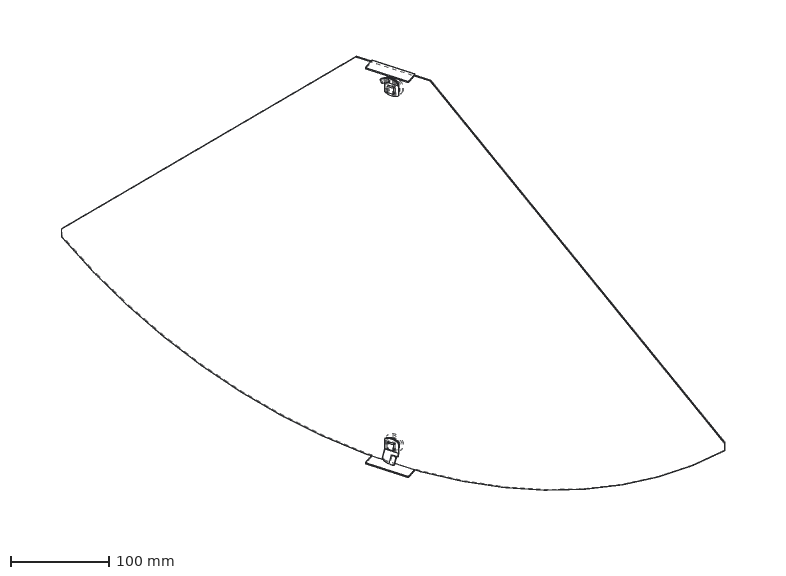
import cadquery as cq
import math


half_width = 383.0
arc_radius = 558.0
sheet = 1.5
overall_height = 504.5
top_flat_half = 43.0
bottom_flat_half = 32.0
lip_rise = 1.5
lip_width = 50.0
web_height = 4.0
lip_reach = 14.5

top_edge = -top_flat_half
lip_top = top_edge + lip_rise
lip_bottom = lip_top - overall_height
bottom_edge = lip_bottom + lip_rise
arc_center = bottom_edge + math.sqrt(arc_radius**2 - bottom_flat_half**2)
tip_bottom = arc_center - math.sqrt(arc_radius**2 - half_width**2)

disc_diameter = 21.0
disc_thickness = 2.0
shank_diameter = 15.0
spindle_side = 8.0
spindle_front = 7.0
hub_inset = 25.0

cam_width = 16.0
cam_thickness = 1.5
cam_rear = 3.0
cam_tail = 8.5
cam_length = 18.5
cam_end_radius = 14.0
crank_start = 7.0
crank_angle = 30
fold_x = -1.0
fold_angle = 30
wing_start = 4.0

lock_heights = [(lip_top - hub_inset, 0), (lip_bottom + hub_inset, 180)]


def place_lock(body, height, turn):
    """Turn a body made on the Y axis about that axis and lift it to its height."""
    return body.rotate((0, 0, 0), (0, 1, 0), turn).translate((0, 0, height))


def cylinder(diameter, rear, length):
    """Cylinder on the Y axis that runs forward (toward -Y) from the given rear plane."""
    return cq.Workplane("XZ", origin=(0, rear, 0)).circle(diameter / 2).extrude(length)


def make_lip(outer_face, inward):
    """Angle-shaped lip: a short web in the sheet's plane and a flange bent forward (toward -Y)."""
    return (
        cq.Workplane("YZ")
        .moveTo(0, outer_face)
        .lineTo(-lip_reach, outer_face)
        .lineTo(-lip_reach, outer_face + inward * sheet)
        .lineTo(-sheet, outer_face + inward * sheet)
        .lineTo(-sheet, outer_face + inward * web_height)
        .lineTo(0, outer_face + inward * web_height)
        .close()
        .extrude(lip_width / 2, both=True)
    )


def make_panel():
    panel = (
        cq.Workplane("XZ")
        .moveTo(-top_flat_half, top_edge)
        .lineTo(top_flat_half, top_edge)
        .lineTo(half_width, -half_width)
        .lineTo(half_width, tip_bottom)
        .radiusArc((bottom_flat_half, bottom_edge), arc_radius)
        .lineTo(-bottom_flat_half, bottom_edge)
        .radiusArc((-half_width, tip_bottom), arc_radius)
        .lineTo(-half_width, -half_width)
        .close()
        .extrude(sheet)
    )
    for outer_face, inward in ((lip_top, -1), (lip_bottom, 1)):
        panel = panel.union(make_lip(outer_face, inward))
    for height, turn in lock_heights:
        panel = panel.cut(place_lock(cylinder(shank_diameter, 0, sheet), height, turn))
    return panel


def make_housing():
    disc = cylinder(disc_diameter, disc_thickness, disc_thickness)
    shank = cylinder(shank_diameter, 0, cam_rear)
    spindle = cq.Workplane("XZ").rect(spindle_side, spindle_side).extrude(spindle_front)
    return disc.union(shank).union(spindle)


def cam_outline():
    """Front outline of the cam, with a shallow arc at each end, as a block through its depth."""
    half = cam_width / 2
    end_rise = cam_end_radius - math.sqrt(cam_end_radius**2 - half**2)
    shoulder = cam_length - end_rise
    heel = end_rise - cam_tail
    return (
        cq.Workplane("XZ")
        .moveTo(-half, heel)
        .lineTo(-half, shoulder)
        .threePointArc((0, cam_length), (half, shoulder))
        .lineTo(half, heel)
        .threePointArc((0, -cam_tail), (-half, heel))
        .close()
        .extrude(2 * lip_reach)
    )


def make_cam():
    rear = -cam_rear
    front = rear - cam_thickness
    lean = math.radians(crank_angle)
    bend_shift = cam_thickness * math.tan(lean / 2)
    blade_run = (cam_length - crank_start) * math.tan(lean)
    blade_back = cam_thickness / math.cos(lean)
    strip = (
        cq.Workplane("YZ")
        .moveTo(rear, -cam_tail)
        .lineTo(rear, crank_start + bend_shift)
        .lineTo(front - blade_run + blade_back, cam_length)
        .lineTo(front - blade_run, cam_length)
        .lineTo(front, crank_start)
        .lineTo(front, -cam_tail)
        .close()
        .extrude(cam_width / 2, both=True)
    )

    blade_frame = cq.Plane(
        origin=(0, front, crank_start), xDir=(1, 0, 0), normal=(0, -math.sin(lean), math.cos(lean))
    )
    blade_length = (cam_length - crank_start) / math.cos(lean)
    wing_base = cq.Workplane(blade_frame).workplane(offset=wing_start)
    clearance = (
        wing_base
        .center(fold_x - cam_width / 2, 0)
        .rect(cam_width, cam_width)
        .extrude(blade_length)
    )

    fold = math.radians(fold_angle)
    wing_across = cam_width * math.cos(fold)
    wing_forward = cam_width * math.sin(fold)
    wing = (
        wing_base
        .moveTo(fold_x, 0)
        .lineTo(fold_x - wing_across, -wing_forward)
        .lineTo(
            fold_x - wing_across - cam_thickness * math.sin(fold),
            cam_thickness * math.cos(fold) - wing_forward,
        )
        .lineTo(fold_x - cam_thickness * math.tan(fold / 2), cam_thickness)
        .lineTo(fold_x, cam_thickness)
        .close()
        .extrude(blade_length - wing_start)
    )

    spindle_hole = cq.Workplane("XZ").rect(spindle_side, spindle_side).extrude(spindle_front)
    return strip.cut(clearance).union(wing).intersect(cam_outline()).cut(spindle_hole)


panel = make_panel()
housings = [place_lock(make_housing(), height, turn) for height, turn in lock_heights]
cams = [place_lock(make_cam(), height, turn) for height, turn in lock_heights]

result = cq.Compound.makeCompound(
    [panel.val()] + [housing.val() for housing in housings] + [cam.val() for cam in cams]
)